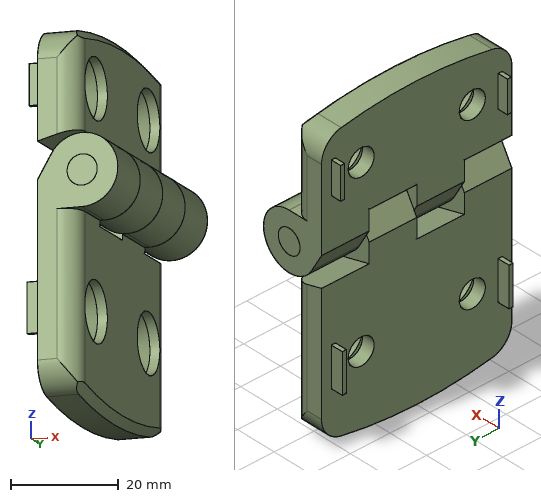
import cadquery as cq
import math

width = 48.0
thickness = 7.9
upper_reach = 29.4
lower_reach = 72.6 - upper_reach
end_radius = 105.25
corner_radius = 6.0
side_fillet = 4.0
end_chamfer = 1.6

knuckle_radius = 7.05
knuckle_x = 8.85
pin_radius = 3.0
knuckle_count = 4
knuckle_width = width / knuckle_count
relief_angle = math.radians(60)
notch_depth_back = 6.1
notch_angle = math.radians(15)

hole_radius = 3.3
head_radius = 6.0
straight_depth = 3.2
hole_y = 14.0
upper_hole_z = 17.6
lower_hole_z = 24.8
tab_width = 1.0
tab_inset = 2.5
upper_tab_height, upper_tab_length = 2.55, 8.0
lower_tab_height, lower_tab_length = 3.0, 9.8


def make_plate(reach):
    """Plate above the hinge clearance, with a bowed and chamfered free end."""
    half = width / 2
    shoulder = reach - end_radius + math.sqrt(end_radius**2 - half**2)
    plate = (
        cq.Workplane("YZ")
        .moveTo(-half, notch_depth_back)
        .lineTo(-half, shoulder)
        .threePointArc((0, reach), (half, shoulder))
        .lineTo(half, notch_depth_back)
        .close()
        .extrude(thickness)
    )
    plate = plate.edges("|X").edges(">Z").fillet(corner_radius)
    return plate.intersect(make_side_rounding(reach)).intersect(make_end_chamfer(reach))


def make_side_rounding(reach):
    """Straight prism that rounds the two long front edges."""
    return (
        cq.Workplane("XY")
        .box(thickness, width, reach, centered=(False, True, False))
        .edges(">X and |Z")
        .fillet(side_fillet)
    )


def make_end_chamfer(reach):
    """Disc whose chamfered rim bevels the bowed free end."""
    return (
        cq.Workplane("YZ")
        .center(0, reach - end_radius)
        .circle(end_radius)
        .extrude(thickness)
        .faces(">X")
        .edges()
        .chamfer(end_chamfer)
    )


def knuckle_start(index):
    return -width / 2 + index * knuckle_width


def extrude_between(profile, index):
    """Extrude an XZ profile across one knuckle's share of the width."""
    return profile.extrude(-knuckle_width).translate((0, knuckle_start(index), 0))


def make_notch(index):
    """Sloped clearance for a knuckle of the other leaf."""
    notch_front = notch_depth_back + thickness * math.tan(notch_angle)
    profile = (
        cq.Workplane("XZ")
        .polyline([(0, notch_depth_back), (thickness, notch_depth_back), (thickness, notch_front)])
        .close()
    )
    return extrude_between(profile, index)


def make_knuckle(index):
    """Barrel with a flat web and a sloping back tangent to the barrel."""
    tangent_x = knuckle_x - knuckle_radius * math.sin(relief_angle)
    tangent_z = -knuckle_radius * math.cos(relief_angle)
    back_z = tangent_z + tangent_x * math.tan(relief_angle)
    profile = (
        cq.Workplane("XZ")
        .moveTo(0, back_z)
        .lineTo(tangent_x, tangent_z)
        .threePointArc((knuckle_x + knuckle_radius, 0), (knuckle_x, knuckle_radius))
        .lineTo(0, knuckle_radius)
        .close()
    )
    return extrude_between(profile, index)


def make_pin():
    return (
        cq.Workplane("XZ")
        .center(knuckle_x, 0)
        .circle(pin_radius)
        .extrude(width / 2, both=True)
    )


def make_screw_hole(y, z):
    """Bore from the back face, widening through a cone to a recess for the screw head."""
    cone_end = straight_depth + head_radius - hole_radius
    half_section = [
        (0, 0),
        (0, hole_radius),
        (straight_depth, hole_radius),
        (cone_end, head_radius),
        (thickness, head_radius),
        (thickness, 0),
    ]
    return (
        cq.Workplane("XY")
        .polyline(half_section)
        .close()
        .revolve(360, (0, 0, 0), (1, 0, 0))
        .translate((0, y, z))
    )


def make_leaf(reach, first_knuckle, hole_z, tab_height, tab_length):
    """Leaf above the hinge axis; its knuckles take every second place."""
    leaf = make_plate(reach)
    for index in range(knuckle_count):
        if index % 2 == first_knuckle:
            leaf = leaf.union(make_knuckle(index))
        else:
            leaf = leaf.cut(make_notch(index))
    leaf = leaf.cut(make_pin())

    for side in (-1, 1):
        leaf = leaf.cut(make_screw_hole(side * hole_y, hole_z))

    tab_y = width / 2 - tab_inset - tab_width / 2
    tabs = (
        cq.Workplane("YZ")
        .pushPoints([(-tab_y, hole_z), (tab_y, hole_z)])
        .rect(tab_width, tab_length)
        .extrude(-tab_height)
    )
    return leaf.union(tabs)


upper_leaf = make_leaf(upper_reach, 1, upper_hole_z, upper_tab_height, upper_tab_length)
lower_leaf = make_leaf(lower_reach, 0, lower_hole_z, lower_tab_height, lower_tab_length).mirror("XY")
pin = make_pin()

result = cq.Compound.makeCompound([upper_leaf.val(), lower_leaf.val(), pin.val()])